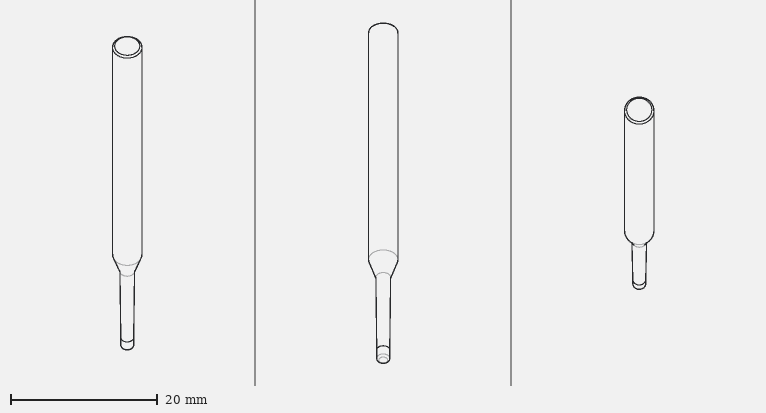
import cadquery as cq

total_length = 60.0
shank_diameter = 4.0
shank_radius = shank_diameter / 2

top_chamfer_width = 0.3
top_chamfer_height = 0.25

tip_length = 1.8
tip_radius = 0.9
tip_corner_radius = 0.3

cone_top_z = 18.3
cone_bottom_z = 15.05
neck_top_radius = 1.0
neck_bottom_radius = tip_radius


def make_shank():
    """Turned shank, transition cone and neck, ending flat on the tip."""
    return (
        cq.Workplane("XZ")
        .moveTo(0, tip_length)
        .lineTo(neck_bottom_radius, tip_length)
        .lineTo(neck_top_radius, cone_bottom_z)
        .lineTo(shank_radius, cone_top_z)
        .lineTo(shank_radius, total_length - top_chamfer_height)
        .lineTo(shank_radius - top_chamfer_width, total_length)
        .lineTo(0, total_length)
        .close()
        .revolve(360, (0, 0, 0), (0, 1, 0))
    )


def make_tip():
    """Cylindrical cutting tip with a rounded lower corner."""
    return (
        cq.Workplane("XY")
        .circle(tip_radius)
        .extrude(tip_length)
        .faces("<Z")
        .edges()
        .fillet(tip_corner_radius)
    )


shank = make_shank()
tip = make_tip()

result = cq.Compound.makeCompound([shank.val(), tip.val()])